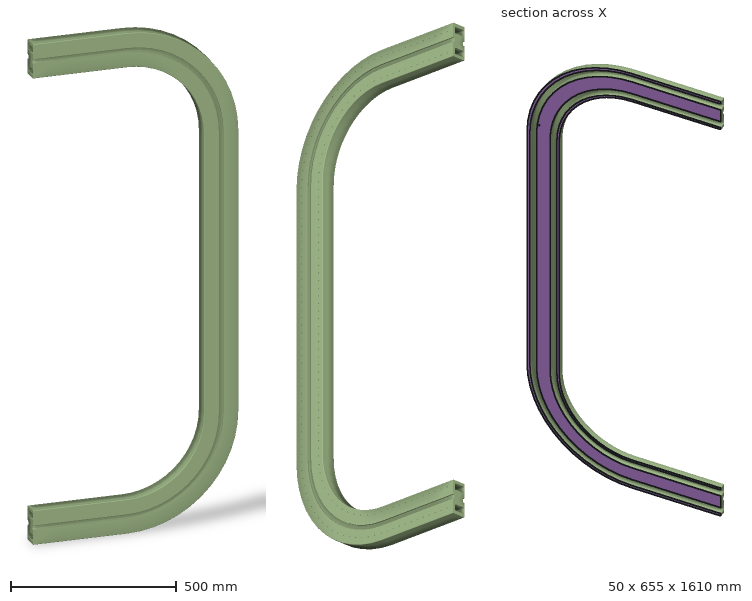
import cadquery as cq
import math

width = 50.0
reach = 655.0
height = 1610.0

section_depth = 110.0
outer_bend_radius = 355.0
corner_radius = 2.0

outer_chamber_offset = 11.0
inner_chamber_offset = 79.5
chamber_size = 21.0
hole_side_wall = 8.0
plain_side_wall = 1.5
chamber_fillet = 4.0

groove_mouth_width = 15.0
groove_floor_width = 6.0
groove_depth = 6.5
groove_wall_depth = 5.0

hole_diameter = 4.0
hole_overrun = 1.0
hole_pitch = 25.0
outer_row_offset = 23.0
inner_row_offset = 93.0
outer_bend_steps = 19
inner_bend_steps = 14

leg_length = reach - outer_bend_radius
half_column = height / 2 - outer_bend_radius
side_x = width / 2
mid_radius = outer_bend_radius - section_depth / 2


def rail_path():
    """Centreline of the rail: upper leg, bend, column, bend, lower leg."""
    z_leg = half_column + mid_radius
    diagonal = mid_radius * math.sqrt(0.5)
    return (
        cq.Workplane("YZ")
        .moveTo(-leg_length, z_leg)
        .lineTo(0, z_leg)
        .threePointArc((diagonal, half_column + diagonal), (mid_radius, half_column))
        .lineTo(mid_radius, -half_column)
        .threePointArc((diagonal, -half_column - diagonal), (0, -z_leg))
        .lineTo(-leg_length, -z_leg)
    )


def along_rail(section):
    """Sweep a section along the rail; its second axis points from the centreline to the outer edge."""
    start = cq.Workplane("XZ", origin=(0, -leg_length, half_column + mid_radius))
    return start.placeSketch(section).sweep(rail_path())


def rounded_bar(bar_width, bar_depth, radius, x_centre, outward_shift):
    """Bar along the whole rail with its four long edges rounded."""
    section = (
        cq.Sketch()
        .push([(x_centre, outward_shift)])
        .rect(bar_width, bar_depth)
        .reset()
        .vertices()
        .fillet(radius)
    )
    return along_rail(section)


def chamber(edge_offset):
    """Cutter for the chamber that starts edge_offset inward from the outer edge of the rail."""
    x_centre = (hole_side_wall - plain_side_wall) / 2
    outward_shift = section_depth / 2 - edge_offset - chamber_size / 2
    chamber_width = width - hole_side_wall - plain_side_wall
    return rounded_bar(chamber_width, chamber_size, chamber_fillet, x_centre, outward_shift)


def groove(side):
    """Groove cutter for the side face at X = side * side_x."""
    x_face = side * side_x
    x_floor = side * (side_x - groove_depth)
    half_mouth = groove_mouth_width / 2
    half_floor = groove_floor_width / 2
    x_wall_end = side * (side_x - groove_wall_depth)
    section = cq.Sketch().polygon(
        [
            (x_face, half_mouth),
            (x_wall_end, half_mouth),
            (x_floor, half_floor),
            (x_floor, -half_floor),
            (x_wall_end, -half_mouth),
            (x_face, -half_mouth),
            (x_face, half_mouth),
        ]
    )
    return along_rail(section)


def hole_row(edge_offset, bend_steps):
    """(Y, Z) places of one row: up the column, around both bends and along both legs."""
    row_radius = outer_bend_radius - edge_offset
    places = []
    for i in range(round(2 * half_column / hole_pitch) + 1):
        places.append((row_radius, -half_column + i * hole_pitch))
    for side in (1, -1):
        for i in range(1, bend_steps):
            angle = i * math.pi / 2 / bend_steps
            z = half_column + row_radius * math.sin(angle)
            places.append((row_radius * math.cos(angle), side * z))
        for i in range(round(leg_length / hole_pitch)):
            places.append((-i * hole_pitch, side * (half_column + row_radius)))
    return places


def holes():
    """Cutters for both hole rows, reaching just through the wall into the chambers."""
    places = hole_row(outer_row_offset, outer_bend_steps)
    places += hole_row(inner_row_offset, inner_bend_steps)
    return (
        cq.Workplane("YZ", origin=(-side_x, 0, 0))
        .pushPoints(places)
        .circle(hole_diameter / 2)
        .extrude(hole_side_wall + hole_overrun)
    )


result = (
    rounded_bar(width, section_depth, corner_radius, 0, 0)
    .cut(chamber(outer_chamber_offset))
    .cut(chamber(inner_chamber_offset))
    .cut(groove(-1))
    .cut(groove(1))
    .cut(holes())
)